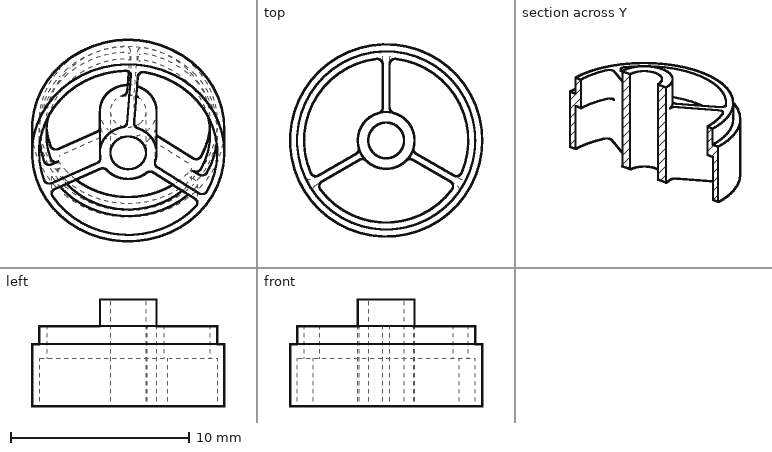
import cadquery as cq

rim_diameter = 10.8
collar_diameter = 10.0
wall = (rim_diameter - collar_diameter) / 2
band_height = 3.5
collar_top = 4.5

upper_bore_diameter = collar_diameter - 2 * wall
lower_bore_diameter = collar_diameter
lower_bore_height = 2.7

hub_diameter = 3.2
hub_bore_diameter = 2.0
hub_height = 6.0

spoke_count = 3
spoke_width = wall
first_spoke_angle = 90.0
spoke_fillet = 0.3


def cylinder(diameter, bottom, top):
    """Upright cylinder on the part axis between two heights."""
    return cq.Workplane("XY").workplane(offset=bottom).circle(diameter / 2).extrude(top - bottom)


def pocket_openings(outer_diameter, bottom, top):
    """Openings between the spokes, with rounded upright corners."""
    openings = cylinder(outer_diameter, bottom, top).cut(cylinder(hub_diameter, bottom, top))
    for index in range(spoke_count):
        spoke = (
            cq.Workplane("XY")
            .workplane(offset=bottom)
            .center(rim_diameter / 4, 0)
            .rect(rim_diameter / 2, spoke_width)
            .extrude(top - bottom)
            .rotate((0, 0, 0), (0, 0, 1), first_spoke_angle + index * 360 / spoke_count)
        )
        openings = openings.cut(spoke)
    return openings.edges("|Z").fillet(spoke_fillet)


body = cylinder(rim_diameter, 0, band_height)
body = body.union(cylinder(collar_diameter, 0, collar_top))
body = body.union(cylinder(hub_diameter, 0, hub_height))

body = body.cut(pocket_openings(lower_bore_diameter, 0, lower_bore_height))
body = body.cut(pocket_openings(upper_bore_diameter, lower_bore_height, collar_top))

result = body.cut(cylinder(hub_bore_diameter, 0, hub_height))